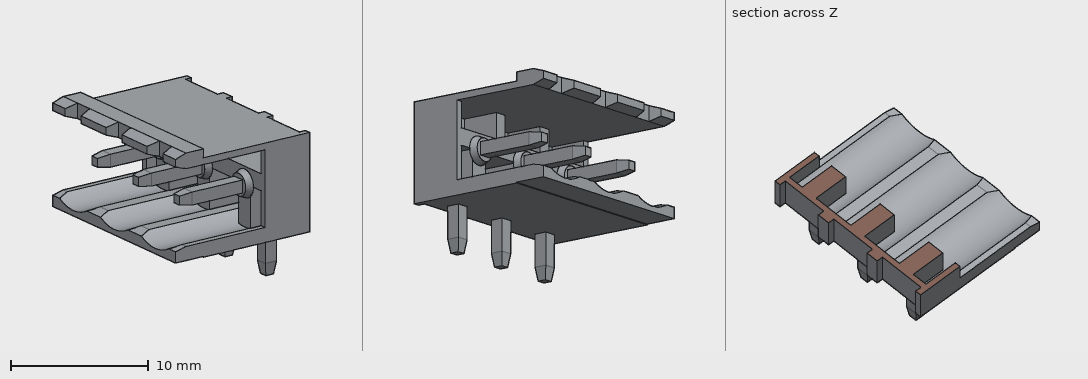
import cadquery as cq
import math


poles = 3
width = 15.24
pitch = width / poles
length = 12.0
block_depth = 4.0
body_height = 7.65
tray_height = 1.16
roof_underside = 7.13
front_bevel_length = 0.93

lip_start = 9.5
lip_top = 8.34
lip_nose_top = 8.03
lip_nose_bottom = 7.44
lip_notch_half_width = 0.75
lip_notch_mouth_half_width = 0.99

tray_nose_height = 0.93
tray_underside_step = 0.06

pole_half_width = 2.03
pocket_back = 1.04
window_floor = 5.15
pillar_width = 1.5
back_notch_width = 4.0
back_notch_depth = 0.53

pin_axis_height = 3.84
pin_width = 1.0
pin_tip_width = 0.69
pin_taper = 1.04
pin_reach = 10.07
pin_drop = 3.52
pin_leg_distance = 2.0

collar_base_diameter = 2.2
collar_end_diameter = 1.75
collar_length = 0.53

pole_centres = [(i - (poles - 1) / 2) * pitch for i in range(poles)]
groove_radius = math.hypot(pole_half_width, pin_axis_height - tray_height)


def box(x_min, x_max, y_min, y_max, z_min, z_max):
    size = (x_max - x_min, y_max - y_min, z_max - z_min)
    return cq.Workplane("XY").box(*size, centered=False).translate((x_min, y_min, z_min))


def housing():
    """Side profile of block, roof with lip, and tray, extruded over the full width."""
    bevel_start = length - front_bevel_length
    profile = [
        (0, 0),
        (-lip_start, 0),
        (-lip_start, tray_underside_step),
        (-length, tray_underside_step),
        (-length, tray_nose_height),
        (-bevel_start, tray_height),
        (-block_depth, tray_height),
        (-block_depth, roof_underside),
        (-bevel_start, roof_underside),
        (-length, lip_nose_bottom),
        (-length, lip_nose_top),
        (-bevel_start, lip_top),
        (-lip_start, lip_top),
        (-lip_start, body_height),
        (0, body_height),
    ]
    return cq.Workplane("YZ").polyline(profile).close().extrude(width / 2, both=True)


def lower_pocket():
    """One recess across all poles, leaving a pillar below each pin."""
    half_span = pole_centres[-1] + pole_half_width
    pocket = box(-half_span, half_span, -block_depth, -pocket_back, tray_height, pin_axis_height)
    for x in pole_centres:
        pocket = pocket.cut(pillar(x))
    return pocket


def pillar(x):
    return box(x - pillar_width / 2, x + pillar_width / 2, -block_depth, -pocket_back, 0, pin_axis_height)


def window(x):
    """Recess in the block face, between the pin and the roof."""
    return box(x - pole_half_width, x + pole_half_width, -block_depth, -pocket_back,
               window_floor, roof_underside)


def tray_groove(x):
    """Round groove in the tray, running from the front to the back of the lower pocket."""
    groove = (
        cq.Workplane("XZ", origin=(x, -pocket_back, pin_axis_height))
        .circle(groove_radius)
        .extrude(length - pocket_back)
    )
    below_tray_top = box(x - pitch / 2, x + pitch / 2, -length, -pocket_back, 0, tray_height)
    return groove.intersect(below_tray_top).cut(pillar(x))


def lip_notch(x):
    """Flared notch through the front edge of the lip."""
    outline = [
        (x - lip_notch_mouth_half_width, -length),
        (x + lip_notch_mouth_half_width, -length),
        (x + lip_notch_half_width, front_bevel_length - length),
        (x - lip_notch_half_width, front_bevel_length - length),
    ]
    lip_height = lip_top - roof_underside
    return cq.Workplane("XY", origin=(0, 0, roof_underside)).polyline(outline).close().extrude(lip_height)


def back_notch(x):
    half = back_notch_width / 2
    return box(x - half, x + half, -back_notch_depth, 0, 0, body_height)


def tapered_pin(start, direction, pin_length):
    """Square pin whose last stretch tapers to a smaller square tip."""
    shank_length = pin_length - pin_taper
    plane = cq.Plane(start, xDir=(1, 0, 0), normal=direction)
    shank = cq.Workplane(plane).rect(pin_width, pin_width).extrude(shank_length)
    tip = (
        cq.Workplane(plane)
        .workplane(offset=shank_length)
        .rect(pin_width, pin_width)
        .workplane(offset=pin_taper)
        .rect(pin_tip_width, pin_tip_width)
        .loft()
    )
    return shank.union(tip)


def bent_pin(x):
    """Vertical leg and horizontal contact meeting inside the block."""
    corner = (x, -pin_leg_distance, pin_axis_height)
    contact = tapered_pin(corner, (0, -1, 0), pin_reach - pin_leg_distance)
    leg = tapered_pin(corner, (0, 0, -1), pin_axis_height + pin_drop)
    return contact.union(leg)


def collar(x):
    return (
        cq.Workplane("XZ", origin=(x, -block_depth, pin_axis_height))
        .circle(collar_base_diameter / 2)
        .workplane(offset=collar_length)
        .circle(collar_end_diameter / 2)
        .loft()
    )


result = housing().cut(lower_pocket())
for pole_x in pole_centres:
    result = result.cut(window(pole_x))
    result = result.cut(tray_groove(pole_x))
    result = result.cut(lip_notch(pole_x))
    result = result.cut(back_notch(pole_x))
for pole_x in pole_centres:
    result = result.union(bent_pin(pole_x)).union(collar(pole_x))